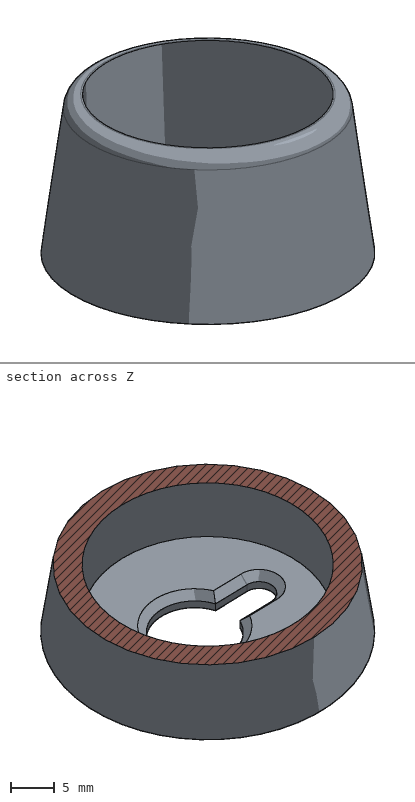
import cadquery as cq
import math

base_radius = 19.0
height = 20.0
shoulder_radius = 16.23
rim_fillet = 2.0
bore_radius = 14.25
floor_thickness = 2.0

hole_radius = 5.5
hole_y = 2.0
slot_width = 4.03
slot_end_y = -8.0
keyhole_chamfer = 1.0


def tapered_body():
    """Solid cone frustum with a rounded top edge."""
    profile = (
        cq.Workplane("XZ")
        .polyline([(0, 0), (base_radius, 0), (shoulder_radius, height), (0, height)])
        .close()
    )
    frustum = profile.revolve(360, (0, 0, 0), (0, 1, 0))
    return frustum.faces(">Z").edges().fillet(rim_fillet)


def keyhole_outline():
    """Round hole joined to a narrower slot with a rounded lower end."""
    slot_radius = slot_width / 2
    join_y = hole_y - math.sqrt(hole_radius**2 - slot_radius**2)
    return (
        cq.Workplane("XY")
        .moveTo(slot_radius, join_y)
        .threePointArc((0, hole_y + hole_radius), (-slot_radius, join_y))
        .lineTo(-slot_radius, slot_end_y)
        .threePointArc((0, slot_end_y - slot_radius), (slot_radius, slot_end_y))
        .close()
    )


def floor_insert():
    """Floor disc with the keyhole, chamfered along its upper edge."""
    disc = cq.Workplane("XY").circle(bore_radius).extrude(floor_thickness)
    pierced = disc.cut(keyhole_outline().extrude(floor_thickness))
    keyhole_rim = pierced.faces(">Z").val().innerWires()[0]
    return pierced.newObject(keyhole_rim.Edges()).chamfer(keyhole_chamfer)


bore = cq.Workplane("XY").circle(bore_radius).extrude(height)
result = tapered_body().cut(bore).union(floor_insert())